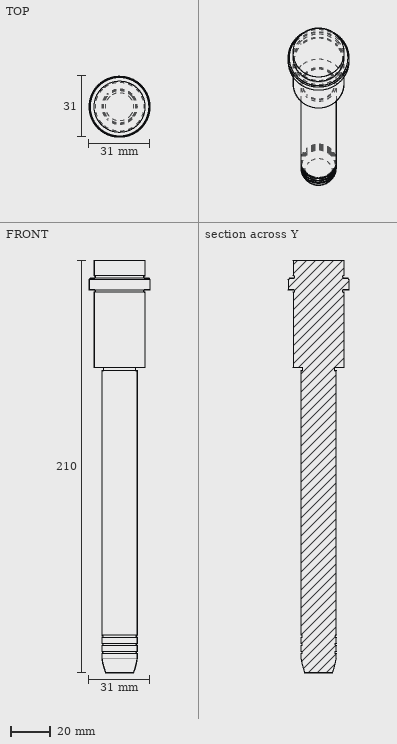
import cadquery as cq

length = 210.0

head_radius = 13.0
collar_radius = 15.5
collar_top = 201.0
collar_bottom = 195.0
collar_chamfer = 0.6
sleeve_bottom = 155.5

relief_radius = 0.6

pin_radius = 9.0
neck_radius = 8.2
neck_length = 1.5

groove_count = 3
groove_radius = 0.52
lowest_groove_center = 10.5
highest_groove_center = 18.7
groove_pitch = (highest_groove_center - lowest_groove_center) / (groove_count - 1)

nose_length = 7.4
nose_tip_radius = 7.1
nose_bulge = 0.2


def cylinder(radius, bottom, top):
    """Solid cylinder on the Z axis between two heights."""
    return cq.Workplane("XY").workplane(offset=bottom).circle(radius).extrude(top - bottom)


def ring_groove(surface_radius, center, round_radius):
    """Round ring to be cut from a cylinder, leaving a half-round groove."""
    return (
        cq.Workplane("XZ")
        .center(surface_radius, center)
        .circle(round_radius)
        .revolve(360, (-surface_radius, 0), (-surface_radius, 1))
    )


def nose():
    """Tip revolved from a slightly bulged taper."""
    middle_radius = (pin_radius + nose_tip_radius) / 2 + nose_bulge
    return (
        cq.Workplane("XZ")
        .lineTo(nose_tip_radius, 0)
        .threePointArc((middle_radius, nose_length / 2), (pin_radius, nose_length))
        .lineTo(0, nose_length)
        .close()
        .revolve(360, (0, 0), (0, 1))
    )


def sleeve_and_head():
    """Sleeve and head with relief grooves, and the collar between them."""
    body = cylinder(head_radius, sleeve_bottom, length)
    for center in (collar_top + relief_radius, collar_bottom - relief_radius):
        body = body.cut(ring_groove(head_radius, center, relief_radius))
    collar = cylinder(collar_radius, collar_bottom, collar_top)
    collar = collar.faces(">Z").edges().chamfer(collar_chamfer)
    return body.union(collar)


def pin():
    """Grooved pin with its nose and neck."""
    pin_top = sleeve_bottom - neck_length
    body = cylinder(pin_radius, nose_length, pin_top)
    for index in range(groove_count):
        center = lowest_groove_center + index * groove_pitch
        body = body.cut(ring_groove(pin_radius, center, groove_radius))
    return body.union(nose()).union(cylinder(neck_radius, pin_top, sleeve_bottom))


result = sleeve_and_head().union(pin())